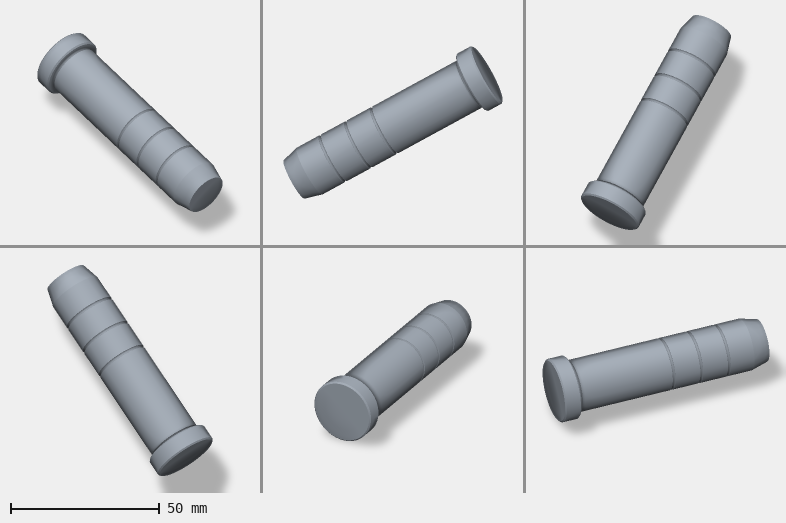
import cadquery as cq
import math

total_length = 75.0
head_radius = 22.0 / 2
head_length = 6.0
head_chamfer = 0.49
shank_radius = 18.0 / 2

taper_length = 6.0
taper_angle = 15.0
taper_start = total_length - taper_length
tip_radius = shank_radius - taper_length * math.tan(math.radians(taper_angle))

groove_radius = 0.5
undercut_center = head_length + groove_radius
first_groove_center = 40.0
groove_pitch = 10.0
shank_groove_count = 3


def add_groove(profile, center):
    """Run the profile along the shank to a groove and through its half-round section."""
    return profile.lineTo(center - groove_radius, shank_radius).threePointArc(
        (center, shank_radius - groove_radius),
        (center + groove_radius, shank_radius),
    )


profile = (
    cq.Workplane("XY")
    .moveTo(0, 0)
    .lineTo(0, head_radius - head_chamfer)
    .lineTo(head_chamfer, head_radius)
    .lineTo(head_length - head_chamfer, head_radius)
    .lineTo(head_length, head_radius - head_chamfer)
)
profile = add_groove(profile, undercut_center)
for index in range(shank_groove_count):
    profile = add_groove(profile, first_groove_center + index * groove_pitch)
profile = profile.lineTo(taper_start, shank_radius).lineTo(total_length, tip_radius).lineTo(total_length, 0)

result = profile.close().revolve(360, (0, 0, 0), (1, 0, 0))